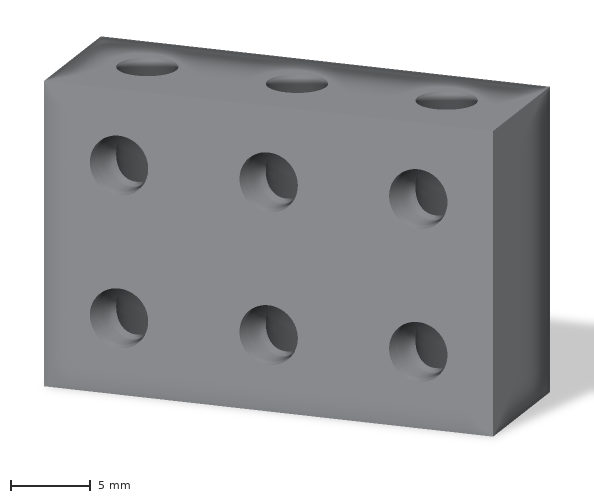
import cadquery as cq

module = 10.0
columns = 3
rows = 2
hole_diameter = 3.9

length = columns * module
depth = module
height = rows * module


def make_block():
    return cq.Workplane("XY").box(length, depth, height)


def cross_holes():
    """Cylinders along Y, one per column and row."""
    return (
        cq.Workplane("XZ")
        .rarray(module, module, columns, rows)
        .circle(hole_diameter / 2)
        .extrude(depth / 2, both=True)
    )


def vertical_holes():
    """Cylinders along Z, one per column, crossing the Y holes."""
    return (
        cq.Workplane("XY")
        .rarray(module, module, columns, 1)
        .circle(hole_diameter / 2)
        .extrude(height / 2, both=True)
    )


result = make_block().cut(cross_holes()).cut(vertical_holes())